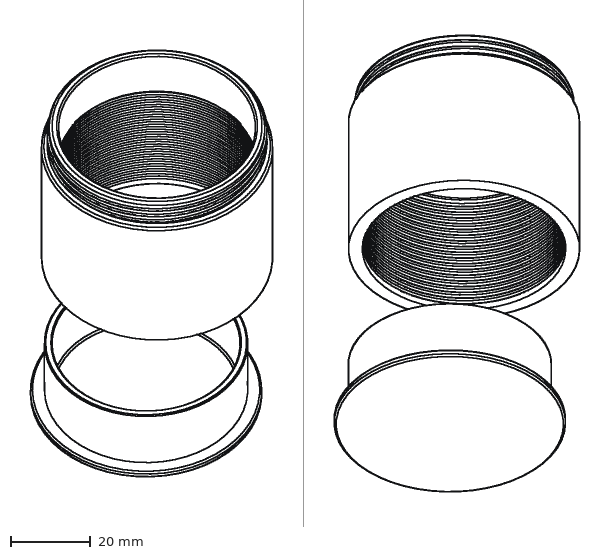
import cadquery as cq
import math

total_height = 100.4
outer_diameter = 58.0
plug_diameter = 51.0
flank_angle = 30.0

jar_height = 47.3
neck_height = 7.2
neck_diameter = 54.1
bore_diameter = 49.4
bore_depth = 13.1
shoulder_chamfer = 0.6
rim_outer_chamfer = 0.7
rim_inner_chamfer = 0.5

thread_crest_diameter = 55.2
thread_pitch = 2.0
thread_start_drop = 0.8
thread_turns = 4.5
thread_root_overlap = 0.2

groove_lead = 1.1
groove_depth = 0.8
groove_count = 18
grooved_length = 32.1

lid_height = 19.0
lid_inner_diameter = 47.2
flange_thickness = 2.0
flange_chamfer = 0.5
plug_chamfer = 0.3
floor_chamfer = 0.5
lid_offset_x = -4.1
lid_offset_y = -0.3

outer_radius = outer_diameter / 2
plug_radius = plug_diameter / 2
neck_radius = neck_diameter / 2
bore_radius = bore_diameter / 2
crest_radius = thread_crest_diameter / 2
jar_bottom = total_height - jar_height
shoulder = total_height - neck_height
socket_top = total_height - bore_depth
groove_top = socket_top - groove_lead
groove_pitch = grooved_length / groove_count
flank_slope = math.tan(math.radians(flank_angle))


def revolve_profile(points):
    """Turn a closed (radius, height) outline about the Z axis."""
    return cq.Workplane("XZ").polyline(points).close().revolve(360, (0, 0), (0, 1))


def jar_wall():
    """Outside of the jar up to the shoulder, as a solid cylinder."""
    return revolve_profile([
        (0, jar_bottom),
        (outer_radius, jar_bottom),
        (outer_radius, shoulder - shoulder_chamfer),
        (outer_radius - shoulder_chamfer, shoulder),
        (0, shoulder),
    ])


def thread_ridge():
    """Triangular ridge swept along a helix, running past both ends of the neck."""
    base_radius = neck_radius - thread_root_overlap
    half_base = (crest_radius - base_radius) * flank_slope
    start = shoulder - thread_start_drop
    helix = cq.Wire.makeHelix(thread_pitch, thread_pitch * thread_turns, base_radius)
    path = cq.Workplane(obj=helix.translate(cq.Vector(0, 0, start)))
    outline = [
        (base_radius, start - half_base),
        (crest_radius, start),
        (base_radius, start + half_base),
    ]
    return cq.Workplane("XZ").polyline(outline).close().sweep(path, isFrenet=True)


def threaded_neck():
    """Neck with its thread, both trimmed by the shoulder and the rim chamfer."""
    run_out = 2 * thread_pitch
    neck = (
        cq.Workplane("XY", origin=(0, 0, shoulder - run_out))
        .circle(neck_radius)
        .extrude(neck_height + 2 * run_out)
    )
    rim_radius = neck_radius - rim_outer_chamfer
    trim = revolve_profile([
        (0, shoulder),
        (outer_radius, shoulder),
        (outer_radius, total_height - (outer_radius - rim_radius)),
        (rim_radius, total_height),
        (0, total_height),
    ])
    return neck.union(thread_ridge()).intersect(trim)


def jar_cavity():
    """Smooth bore at the rim, opening into a wider socket lined with V-shaped ring grooves."""
    groove_width = 2 * groove_depth * flank_slope
    points = [
        (0, jar_bottom),
        (0, total_height),
        (bore_radius + rim_inner_chamfer, total_height),
        (bore_radius, total_height - rim_inner_chamfer),
        (bore_radius, socket_top),
        (plug_radius, socket_top),
    ]
    for i in range(groove_count):
        top = groove_top - i * groove_pitch
        points += [
            (plug_radius, top),
            (plug_radius + groove_depth, top - groove_width / 2),
            (plug_radius, top - groove_width),
        ]
    points.append((plug_radius, jar_bottom))
    return revolve_profile(points)


def make_jar():
    return jar_wall().union(threaded_neck()).cut(jar_cavity())


def make_lid():
    inner_radius = lid_inner_diameter / 2
    lid = revolve_profile([
        (0, 0),
        (outer_radius - flange_chamfer, 0),
        (outer_radius, flange_chamfer),
        (outer_radius, flange_thickness - flange_chamfer),
        (outer_radius - flange_chamfer, flange_thickness),
        (plug_radius, flange_thickness),
        (plug_radius, lid_height - plug_chamfer),
        (plug_radius - plug_chamfer, lid_height),
        (inner_radius + plug_chamfer, lid_height),
        (inner_radius, lid_height - plug_chamfer),
        (inner_radius, flange_thickness + floor_chamfer),
        (inner_radius - floor_chamfer, flange_thickness),
        (0, flange_thickness),
    ])
    return lid.translate((lid_offset_x, lid_offset_y, 0))


jar = make_jar()
lid = make_lid()
result = cq.Compound.makeCompound([jar.val(), lid.val()])